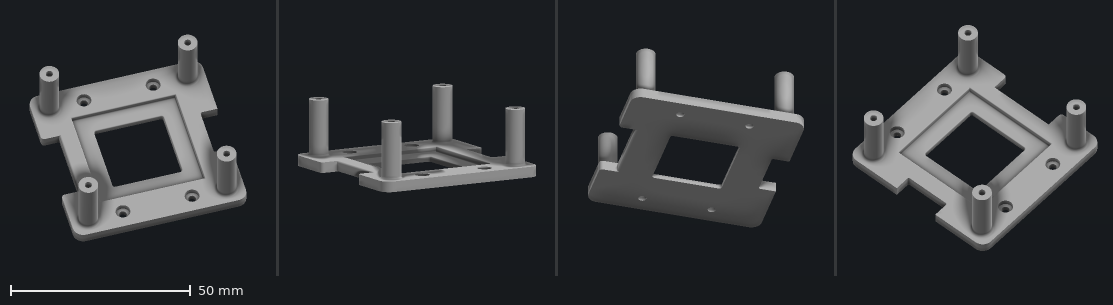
import cadquery as cq
import math

plate_side = 50.0
plate_thickness = 3.0
corner_radius = 3.0
half_side = plate_side / 2

pick_margin = 0.05

overall_height = 19.0
post_diameter = 5.5
post_fillet = 0.7
post_hole_diameter = 2.0
post_hole_depth = 10.0
post_offset = 20.0

screw_diameter = 2.2
screw_head_diameter = 4.2
screw_head_depth = 1.5
screw_spacing_y = 20.0

recess_side = 30.0
recess_depth = 1.5
recess_floor_z = plate_thickness - recess_depth
recess_fillet = 0.3
window_side = 20.0
window_rim_radius = 0.3
window_corner_radius = 0.7

notch_depth = 5.0
front_notch_width = 20.0
front_mouth_radius = 1.0
front_edge_radius = 0.6
back_notch_width = 14.2
back_notch_corner_radius = 0.5


def notch_block(width, side):
    """Cutter for a notch in the front (side = -1) or back (side = 1) edge."""
    return (
        cq.Workplane("XY")
        .center(0, side * (half_side - notch_depth / 2))
        .rect(width, notch_depth)
        .extrude(plate_thickness)
    )


def make_plate():
    """Rounded square plate with its two edge notches."""
    plate = (
        cq.Workplane("XY")
        .rect(plate_side, plate_side)
        .extrude(plate_thickness)
        .edges("|Z")
        .fillet(corner_radius)
    )
    back_notch = notch_block(back_notch_width, 1).edges("|Z and <Y").fillet(back_notch_corner_radius)
    plate = plate.cut(back_notch).cut(notch_block(front_notch_width, -1))

    mouth_corners = cq.selectors.BoxSelector(
        (-front_notch_width / 2 - pick_margin, -half_side - pick_margin, 0),
        (front_notch_width / 2 + pick_margin, -half_side + pick_margin, plate_thickness),
    )
    plate = plate.edges("|Z").edges(mouth_corners).fillet(front_mouth_radius)

    notch_floor_y = -half_side + notch_depth
    floor_edges = cq.selectors.BoxSelector(
        (-pick_margin, notch_floor_y - pick_margin, -pick_margin),
        (pick_margin, notch_floor_y + pick_margin, plate_thickness + pick_margin),
    )
    return plate.edges("|X").edges(floor_edges).fillet(front_edge_radius)


def round_opening_rim(body, side, rim_z, radius):
    """Round the upper rim of a centred square opening."""
    reach = side / 2 + pick_margin
    rim = cq.selectors.BoxSelector(
        (-reach, -reach, rim_z - pick_margin),
        (reach, reach, rim_z + pick_margin),
    )
    return body.edges(rim).fillet(radius)


def cut_recess(body):
    """Square recess with a rounded rim and a filleted floor."""
    recess = (
        cq.Workplane("XY")
        .workplane(offset=recess_floor_z)
        .rect(recess_side, recess_side)
        .extrude(recess_depth)
        .faces("<Z")
        .edges()
        .fillet(recess_fillet)
    )
    return round_opening_rim(body.cut(recess), recess_side, plate_thickness, recess_fillet)


def cut_window(body):
    """Round-cornered through window in the recess floor, with a rounded rim."""
    window = (
        cq.Workplane("XY")
        .rect(window_side, window_side)
        .extrude(recess_floor_z)
        .edges("|Z")
        .fillet(window_corner_radius)
    )
    return round_opening_rim(body.cut(window), window_side, recess_floor_z, window_rim_radius)


def add_posts(body):
    """Four drilled corner posts with filleted roots."""
    centers = [(x, y) for x in (-post_offset, post_offset) for y in (-post_offset, post_offset)]
    post_radius = post_diameter / 2
    arc_inset = post_fillet * (1 - math.sqrt(0.5))
    post = (
        cq.Workplane("XZ")
        .moveTo(0, plate_thickness)
        .lineTo(post_radius + post_fillet, plate_thickness)
        .threePointArc(
            (post_radius + arc_inset, plate_thickness + arc_inset),
            (post_radius, plate_thickness + post_fillet),
        )
        .lineTo(post_radius, overall_height)
        .lineTo(0, overall_height)
        .close()
        .revolve(360, (0, 0, 0), (0, 1, 0))
    )
    for x, y in centers:
        body = body.union(post.translate((x, y, 0)))
    drills = (
        cq.Workplane("XY")
        .workplane(offset=overall_height - post_hole_depth)
        .pushPoints(centers)
        .circle(post_hole_diameter / 2)
        .extrude(post_hole_depth)
    )
    return body.cut(drills)


def screw_holes():
    """Cutters for the four counterbored holes in line with the posts."""
    places = cq.Workplane("XY").rect(2 * post_offset, screw_spacing_y, forConstruction=True).vertices()
    shanks = places.circle(screw_diameter / 2).extrude(plate_thickness)
    heads = (
        cq.Workplane("XY")
        .workplane(offset=plate_thickness - screw_head_depth)
        .rect(2 * post_offset, screw_spacing_y, forConstruction=True)
        .vertices()
        .circle(screw_head_diameter / 2)
        .extrude(screw_head_depth)
    )
    return shanks.union(heads)


plate = cut_window(cut_recess(make_plate()))
result = add_posts(plate).cut(screw_holes())